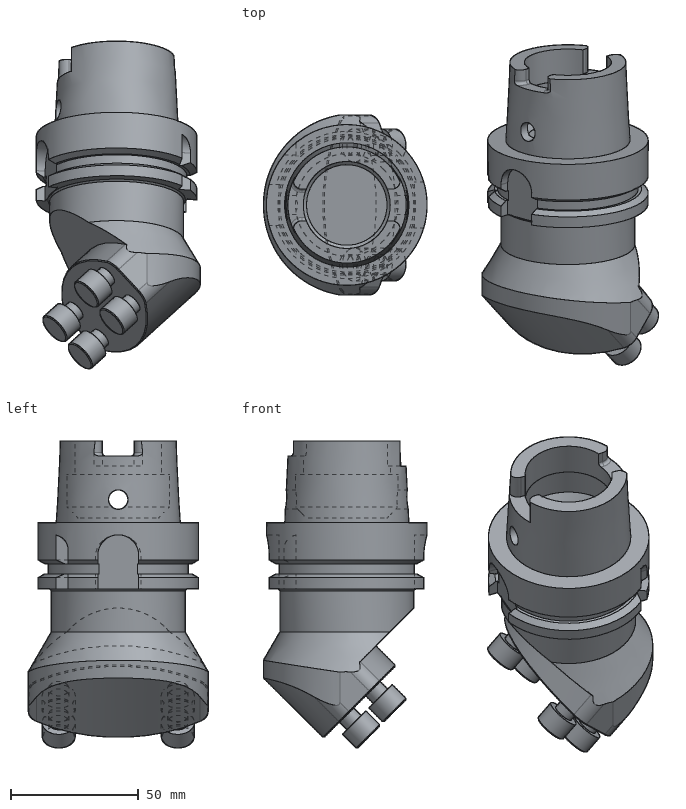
import cadquery as cq
import math

TAPER_LENGTH = 32.0
TAPER_BASE_RADIUS = 24.35
TAPER_TIP_RADIUS = 22.75

MOUTH_RADIUS = 34.05 / 2
MOUTH_DEPTH = 13.2
UNDERCUT_RADIUS = 40.08 / 2
UNDERCUT_BOTTOM_Z = 6.0
BORE_FLOOR_RADIUS = 15.75
CROSS_HOLE_DIAMETER = 7.5
CROSS_HOLE_Z = 9.0

TIP_SLOT_HALF_WIDTH = 6.2
TIP_SLOT_WALL_RADIUS = 3.3
TIP_SLOT_WALL_END_X = 20.9
TIP_SLOT_INNER_X = 10.0
TIP_SLOT_OUTER_X = 30.0
SHALLOW_SLOT_DEPTH = 5.9
SHALLOW_SLOT_FILLET = 1.3
DEEP_SLOT_DEPTH = 9.9

FLANGE_RADIUS = 62.94 / 2
FLANGE_HEIGHT = 26.0
GROOVE_RADIUS = 27.55
GROOVE_TOP_Z = -16.2
GROOVE_BOTTOM_Z = -20.05
GROOVE_LIP_RADIUS = 28.8
GROOVE_LIP_DROP = (FLANGE_RADIUS - GROOVE_LIP_RADIUS) * math.tan(math.radians(30))

KEYWAY_FLOOR_X = 26.5
NARROW_KEYWAY_WIDTH = 16.0
WIDE_KEYWAY_WIDTH = 18.0
KEYWAY_TOP_Z = -4.8
NOTCH_FLOOR_X = 19.9
NOTCH_WALL_Y = 19.6
NOTCH_RADIUS = 6.0

NECK_RADIUS = 52.5 / 2
NECK_SHOULDER = 0.7
NECK_BOTTOM_Z = -42.8
FLARE_HALF_ANGLE = math.radians(30)
FLARE_BOTTOM_Z = -95.0
BODY_ARC_RADIUS = 35.72
BODY_ARC_CENTER_X = 3.05
BODY_HALF_WIDTH = 70.5 / 2

PIVOT_Z = -65.1
RELIEF_OFFSET = -3.8
END_FACE_OFFSET = 7.2
END_CHAMFER = 0.4
HEAD_HALF_HEIGHT = 20.1
HEAD_ARC_RADIUS = 62.5
HEAD_CORNER_RADIUS = 6.5
OVERSIZE = 240.0

SCREW_SHANK_RADIUS = 8.0 / 2
SCREW_HEAD_RADIUS = 13.0 / 2
SCREW_HEAD_HEIGHT = 8.0
SCREW_HEAD_CHAMFER = 0.4
SCREW_END_OFFSET = 19.4
SCREW_HALF_SPACING_Y = 23.3
SCREW_HALF_SPACING_HEIGHT = 7.3


def head_plane(offset):
    """Plane across the head axis: local x along +Y, local y toward +X+Z."""
    plane = cq.Plane(origin=(0, 0, PIVOT_Z), xDir=(0, 1, 0), normal=(1, 0, -1))
    return cq.Workplane(plane).workplane(offset=offset)


def make_turned_blank():
    """Taper, grooved flange, neck and full flare, all turned about Z."""
    flare_radius = NECK_RADIUS + (NECK_BOTTOM_Z - FLARE_BOTTOM_Z) * math.tan(FLARE_HALF_ANGLE)
    profile = [
        (0, TAPER_LENGTH),
        (TAPER_TIP_RADIUS, TAPER_LENGTH),
        (TAPER_BASE_RADIUS, 0),
        (FLANGE_RADIUS, 0),
        (FLANGE_RADIUS, GROOVE_TOP_Z + GROOVE_LIP_DROP),
        (GROOVE_LIP_RADIUS, GROOVE_TOP_Z),
        (GROOVE_RADIUS, GROOVE_TOP_Z),
        (GROOVE_RADIUS, GROOVE_BOTTOM_Z),
        (GROOVE_LIP_RADIUS, GROOVE_BOTTOM_Z),
        (FLANGE_RADIUS, GROOVE_BOTTOM_Z - GROOVE_LIP_DROP),
        (FLANGE_RADIUS, -FLANGE_HEIGHT),
        (NECK_RADIUS + NECK_SHOULDER, -FLANGE_HEIGHT),
        (NECK_RADIUS, -FLANGE_HEIGHT - NECK_SHOULDER),
        (NECK_RADIUS, NECK_BOTTOM_Z),
        (flare_radius, FLARE_BOTTOM_Z),
        (0, FLARE_BOTTOM_Z),
    ]
    return cq.Workplane("XZ").polyline(profile).close().revolve(360, (0, 0, 0), (0, 1, 0))


def make_body_envelope():
    """Upright outline of the flared body: an arc on -X and two flats toward +X."""
    half_chord = math.sqrt(BODY_ARC_RADIUS**2 - BODY_HALF_WIDTH**2)
    flat_start_x = BODY_ARC_CENTER_X - half_chord
    return (
        cq.Workplane("XY", origin=(0, 0, FLARE_BOTTOM_Z))
        .moveTo(OVERSIZE / 2, BODY_HALF_WIDTH)
        .lineTo(flat_start_x, BODY_HALF_WIDTH)
        .threePointArc((BODY_ARC_CENTER_X - BODY_ARC_RADIUS, 0), (flat_start_x, -BODY_HALF_WIDTH))
        .lineTo(OVERSIZE / 2, -BODY_HALF_WIDTH)
        .close()
        .extrude(TAPER_LENGTH - FLARE_BOTTOM_Z)
    )


def make_head_prism():
    """Prism along the head axis: arched top and bottom, flat sides, rounded corners."""
    arc_center = HEAD_HALF_HEIGHT - HEAD_ARC_RADIUS
    center_distance = HEAD_ARC_RADIUS - HEAD_CORNER_RADIUS
    corner_y = BODY_HALF_WIDTH - HEAD_CORNER_RADIUS
    corner_height = arc_center + math.sqrt(center_distance**2 - corner_y**2)
    tangent_angle = math.asin(corner_y / center_distance)
    middle_angle = (tangent_angle + math.pi / 2) / 2

    def corner_point(angle, side, end):
        return (
            side * (corner_y + HEAD_CORNER_RADIUS * math.sin(angle)),
            end * (corner_height + HEAD_CORNER_RADIUS * math.cos(angle)),
        )

    flat_angle = math.pi / 2
    return (
        head_plane(END_FACE_OFFSET)
        .moveTo(*corner_point(tangent_angle, -1, 1))
        .threePointArc((0, HEAD_HALF_HEIGHT), corner_point(tangent_angle, 1, 1))
        .threePointArc(corner_point(middle_angle, 1, 1), corner_point(flat_angle, 1, 1))
        .lineTo(*corner_point(flat_angle, 1, -1))
        .threePointArc(corner_point(middle_angle, 1, -1), corner_point(tangent_angle, 1, -1))
        .threePointArc((0, -HEAD_HALF_HEIGHT), corner_point(tangent_angle, -1, -1))
        .threePointArc(corner_point(middle_angle, -1, -1), corner_point(flat_angle, -1, -1))
        .lineTo(*corner_point(flat_angle, -1, 1))
        .threePointArc(corner_point(middle_angle, -1, 1), corner_point(tangent_angle, -1, 1))
        .close()
        .extrude(-OVERSIZE)
        .faces(cq.selectors.DirectionMinMaxSelector(cq.Vector(1, 0, -1)))
        .chamfer(END_CHAMFER)
    )


def make_head_envelope():
    """Head prism joined to the region behind the relief plane, above the head axis."""
    upper_region = (
        head_plane(RELIEF_OFFSET)
        .rect(OVERSIZE, OVERSIZE)
        .extrude(-OVERSIZE)
        .intersect(head_plane(0).center(0, OVERSIZE / 2).rect(OVERSIZE, OVERSIZE).extrude(-OVERSIZE))
    )
    return make_head_prism().union(upper_region)


def make_bore():
    """Clamping bore: mouth, stepped undercut and 45 degree cone to a flat floor."""
    mouth_bottom_z = TAPER_LENGTH - MOUTH_DEPTH
    floor_z = UNDERCUT_BOTTOM_Z - (UNDERCUT_RADIUS - BORE_FLOOR_RADIUS)
    profile = [
        (0, TAPER_LENGTH),
        (MOUTH_RADIUS, TAPER_LENGTH),
        (MOUTH_RADIUS, mouth_bottom_z),
        (UNDERCUT_RADIUS, mouth_bottom_z),
        (UNDERCUT_RADIUS, UNDERCUT_BOTTOM_Z),
        (BORE_FLOOR_RADIUS, floor_z),
        (0, floor_z),
    ]
    return cq.Workplane("XZ").polyline(profile).close().revolve(360, (0, 0, 0), (0, 1, 0))


def make_cross_hole():
    """Radial hole through both walls of the taper."""
    return (
        cq.Workplane("YZ", origin=(0, 0, CROSS_HOLE_Z))
        .circle(CROSS_HOLE_DIAMETER / 2)
        .extrude(TAPER_BASE_RADIUS, both=True)
    )


def make_tip_slot(side, depth):
    """Slot in the taper tip on the +X (side 1) or -X (side -1) wall, flared outward."""
    arc_start_x = TIP_SLOT_WALL_END_X - TIP_SLOT_WALL_RADIUS
    mouth_half_width = TIP_SLOT_HALF_WIDTH + TIP_SLOT_WALL_RADIUS
    arc_middle_x = arc_start_x + TIP_SLOT_WALL_RADIUS * math.sin(math.pi / 4)
    arc_middle_y = TIP_SLOT_HALF_WIDTH + TIP_SLOT_WALL_RADIUS * (1 - math.cos(math.pi / 4))
    return (
        cq.Workplane("XY", origin=(0, 0, TAPER_LENGTH - depth))
        .moveTo(side * TIP_SLOT_INNER_X, -TIP_SLOT_HALF_WIDTH)
        .lineTo(side * arc_start_x, -TIP_SLOT_HALF_WIDTH)
        .threePointArc(
            (side * arc_middle_x, -arc_middle_y),
            (side * TIP_SLOT_WALL_END_X, -mouth_half_width),
        )
        .lineTo(side * TIP_SLOT_OUTER_X, -mouth_half_width)
        .lineTo(side * TIP_SLOT_OUTER_X, mouth_half_width)
        .lineTo(side * TIP_SLOT_WALL_END_X, mouth_half_width)
        .threePointArc(
            (side * arc_middle_x, arc_middle_y),
            (side * arc_start_x, TIP_SLOT_HALF_WIDTH),
        )
        .lineTo(side * TIP_SLOT_INNER_X, TIP_SLOT_HALF_WIDTH)
        .close()
        .extrude(depth)
    )


def make_rim_slot(side, floor_x, center_y, width, top_z):
    """Round-topped slot milled into the flange rim along X and open at the flange bottom."""
    radius = width / 2
    spring_z = top_z - radius
    return (
        cq.Workplane("YZ", origin=(side * floor_x, 0, 0))
        .moveTo(center_y - radius, -FLANGE_HEIGHT)
        .lineTo(center_y - radius, spring_z)
        .threePointArc((center_y, top_z), (center_y + radius, spring_z))
        .lineTo(center_y + radius, -FLANGE_HEIGHT)
        .close()
        .extrude(side * FLANGE_RADIUS)
    )


def make_screws():
    """Four cap screws: shanks out of the end face, heads spaced away from it."""
    spots = [
        (y_side * SCREW_HALF_SPACING_Y, height_side * SCREW_HALF_SPACING_HEIGHT)
        for y_side in (-1, 1)
        for height_side in (-1, 1)
    ]
    shanks = head_plane(0).pushPoints(spots).circle(SCREW_SHANK_RADIUS).extrude(SCREW_END_OFFSET)
    heads = (
        head_plane(SCREW_END_OFFSET - SCREW_HEAD_HEIGHT)
        .pushPoints(spots)
        .circle(SCREW_HEAD_RADIUS)
        .extrude(SCREW_HEAD_HEIGHT)
        .faces(cq.selectors.DirectionMinMaxSelector(cq.Vector(1, 0, -1)))
        .chamfer(SCREW_HEAD_CHAMFER)
    )
    return shanks.union(heads)


body = make_turned_blank().intersect(make_body_envelope()).intersect(make_head_envelope())

shallow_slot = make_tip_slot(-1, SHALLOW_SLOT_DEPTH).faces("<Z").edges().fillet(SHALLOW_SLOT_FILLET)
deep_slot = make_tip_slot(1, DEEP_SLOT_DEPTH)
body = body.cut(make_bore()).cut(make_cross_hole()).cut(shallow_slot).cut(deep_slot)

narrow_keyway = make_rim_slot(-1, KEYWAY_FLOOR_X, 0, NARROW_KEYWAY_WIDTH, KEYWAY_TOP_Z)
wide_keyway = make_rim_slot(1, KEYWAY_FLOOR_X, 0, WIDE_KEYWAY_WIDTH, KEYWAY_TOP_Z)
notch_center_y = NOTCH_WALL_Y + NOTCH_RADIUS
notch = make_rim_slot(-1, NOTCH_FLOOR_X, notch_center_y, 2 * NOTCH_RADIUS, KEYWAY_TOP_Z)
body = body.cut(narrow_keyway).cut(wide_keyway).cut(notch)

result = body.union(make_screws())